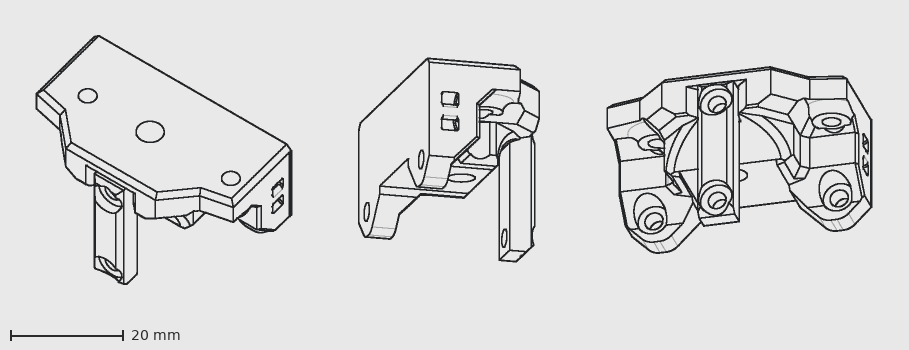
import cadquery as cq
import math


half_width = 22.0
side_depth = 16.9
shoulder_x = 15.6
shoulder_depth = 18.35
nose_x = 10.0
nose_depth = shoulder_depth + shoulder_x - nose_x
top_chamfer = 1.0
lip_width = 0.1
lip_depth = 0.57

ear_drop = 22.2
ear_depth = 4.4
ear_outer_drop = 18.25
ear_inner_x = 8.9
ear_inner_drop = 16.63
ear_round = 3.0
slot_drop = 15.13
wall_depth = 9.5
recess_roof_drop = 5.03
wall_top_drop = 8.0
wall_bottom_drop = 14.05
wall_chamfer_x = 0.45
wall_chamfer_depth = 0.7
ear_hole_x = 17.02
ear_hole_drop = 17.6
ear_hole_diameter = 3.3
ear_bore_diameter = 5.8
ear_bore_floor = 3.55

block_x = 11.85
block_corner = 1.35
block_side_depth = 15.4
block_bottom_drop = 15.88
bottom_slope = 0.19
nose_under_chamfer = 0.4
nose_face_drop = 5.95
hollow_radius = 7.5
hollow_depth = 23.9
hollow_drop = wall_top_drop + hollow_radius
hollow_chamfer = 1.0

hole_depth = 12.45
center_hole_diameter = 5.0
screw_hole_diameter = 3.3
left_screw_x = -13.95
right_screw_x = 18.05
boss_radius = 3.45
boss_drop = 6.92
boss_fillet = boss_drop - recess_roof_drop
screw_head_diameter = 5.4
driver_path_diameter = 5.5

strap_center_offset = 1.0
strap_center_x = half_width + strap_center_offset
strap_center_drop = 9.75
strap_post_diameter = 4.7
strap_outer_radius = 3.65
strap_post_round = 0.57
strap_corner = 0.25
strap_depths = (2.35, 5.45)

bar_width = 6.53
bar_top_drop = 2.65
bar_height = 26.1
bar_back = 20.4
bar_front = 25.4
bar_chamfer = 0.95
bar_bottom_chamfer = 1.85
bar_hole_drops = (6.45, 25.6)
bar_hole_diameter = 3.2
bar_bore_diameter = 6.1
bar_bore_depth = 2.0
seat_gap = 0.2
seat_mouth_x = 5.5

beyond = 44.1


def plan_prism(points, top_drop, bottom_drop):
    """Prism of an (x, depth) outline between two drops."""
    outline = [(x, -depth) for x, depth in points]
    base = cq.Workplane("XY", origin=(0, 0, -bottom_drop)).polyline(outline).close()
    return base.extrude(bottom_drop - top_drop)


def plan_wire(points, drop):
    return cq.Wire.makePolygon([cq.Vector(x, -depth, -drop) for x, depth in points], close=True)


def mirrored(points):
    """Closed outline from its right half, listed from back to front."""
    return points + [(-x, along) for x, along in reversed(points)]


def upright_cylinder(x, diameter, top_drop, bottom_drop):
    plane = cq.Workplane("XY", origin=(x, -hole_depth, -bottom_drop))
    return plane.circle(diameter / 2).extrude(bottom_drop - top_drop)


def forward_cylinder(x, drop, diameter, start_depth, end_depth):
    plane = cq.Workplane("XZ", origin=(x, -start_depth, -drop))
    return plane.circle(diameter / 2).extrude(end_depth - start_depth)


def both_sides(shape):
    return shape.union(shape.mirror("YZ"))


def outline_prism():
    outline = mirrored(
        [(half_width, 0), (half_width, side_depth), (shoulder_x, shoulder_depth), (nose_x, nose_depth)]
    )
    prism = plan_prism(outline, 0, ear_drop)
    return prism.faces(">Z").edges("not >Y").chamfer(top_chamfer)


def front_envelope():
    """Outline of the ears and the slot between them, run through from the back."""
    ear_outer_x = half_width - (ear_drop - ear_outer_drop)
    ear_tip_x = ear_inner_x + ear_drop - ear_inner_drop
    outline = mirrored(
        [
            (half_width, 0),
            (half_width, -ear_outer_drop),
            (ear_outer_x, -ear_drop),
            (ear_tip_x, -ear_drop),
            (ear_inner_x, -ear_inner_drop),
            (ear_inner_x, -slot_drop),
        ]
    )
    envelope = cq.Workplane("XZ").polyline(outline).close().extrude(beyond)
    return envelope.edges("|Y").edges("<Z").fillet(ear_round)


def recess_section(x, shift):
    """Depth-drop outline of the space in front of the wall, moved back by shift."""
    front = wall_depth - shift
    roof_start = front + wall_top_drop - recess_roof_drop
    ear_corner_drop = wall_bottom_drop + front - ear_depth
    points = [
        (roof_start, recess_roof_drop),
        (front, wall_top_drop),
        (front, wall_bottom_drop),
        (ear_depth, ear_corner_drop),
        (ear_depth, beyond),
        (beyond, beyond),
        (beyond, recess_roof_drop),
    ]
    return cq.Wire.makePolygon([cq.Vector(x, -depth, -drop) for depth, drop in points], close=True)


def wall_recess():
    """Space in front of the wall, wider at the outer ends to bevel the wall there."""
    bevel_x = half_width - wall_chamfer_x
    middle = cq.Solid.makeLoft([recess_section(-bevel_x, 0), recess_section(bevel_x, 0)], True)
    end = cq.Solid.makeLoft(
        [recess_section(bevel_x, 0), recess_section(half_width, wall_chamfer_depth)], True
    )
    return cq.Workplane(middle).union(both_sides(cq.Workplane(end)))


def roof_section(spread):
    """Plan outline of the roof's underside, moved outward by spread."""
    side = block_x + spread
    front = nose_depth - nose_under_chamfer + spread
    setback = wall_top_drop - nose_face_drop - spread
    diagonal = shoulder_depth + shoulder_x - setback * math.sqrt(2)
    return mirrored(
        [
            (side + block_corner, 0),
            (side + block_corner, wall_depth + spread),
            (side, wall_depth + block_corner + spread),
            (side, diagonal - side),
            (diagonal - front, front),
        ]
    )


def nose_roof():
    """Thick part of the top plate, flaring outward at 45 degrees as it rises."""
    rise = wall_top_drop - recess_roof_drop
    lower = plan_wire(roof_section(0), wall_top_drop)
    upper = plan_wire(roof_section(rise), recess_roof_drop)
    return cq.Workplane(cq.Solid.makeLoft([lower, upper], True))


def block_section(inset):
    """Plan outline of the block, its sides and back corners moved in by inset."""
    side = block_x - inset
    tip_depth = block_side_depth + block_x
    outline = [
        (side + block_corner, 0),
        (side + block_corner, wall_depth - inset),
        (side, wall_depth + block_corner - inset),
        (side, tip_depth - side),
    ]
    return outline + [(0, tip_depth)] + [(-x, depth) for x, depth in reversed(outline)]


def block_envelope():
    """Block with its lower sides drawn in and its underside falling toward the slot."""
    inset = block_bottom_drop - wall_bottom_drop
    upper = plan_prism(block_section(0), 0, wall_bottom_drop)
    wires = [
        plan_wire(block_section(shift), drop)
        for shift, drop in ((0, wall_bottom_drop), (inset, block_bottom_drop))
    ]
    tapered = upper.union(cq.Workplane(cq.Solid.makeLoft(wires, True)))
    edge_drop = block_bottom_drop - bottom_slope * (half_width - ear_inner_x)
    underside = mirrored(
        [(half_width, 0), (half_width, -edge_drop), (ear_inner_x, -block_bottom_drop)]
    )
    return tapered.intersect(cq.Workplane("XZ").polyline(underside).close().extrude(beyond))


def block():
    """Central block, hollowed at the front by a cylinder along X with a bevelled mouth."""
    solid = plan_prism(block_section(0), 0, hollow_drop + hollow_radius / 2)
    hollow = cq.Workplane("YZ", origin=(-beyond / 2, -hollow_depth, -hollow_drop))
    solid = solid.cut(hollow.circle(hollow_radius).extrude(beyond))
    solid = solid.edges("%ELLIPSE").chamfer(hollow_chamfer)
    hollow_back = hollow_depth - hollow_radius
    toe_size = block_bottom_drop - slot_drop
    toe = cq.Workplane("YZ", origin=(-beyond / 2, -hollow_back, -slot_drop))
    toe_outline = [(0, 0), (toe_size, -toe_size), (-toe_size, -toe_size), (-toe_size, 0)]
    toe = toe.polyline(toe_outline).close().extrude(beyond)
    return solid.intersect(block_envelope()).cut(toe)


def screw_boss(x):
    """Boss under the roof, flaring into it with a quarter-round fillet."""
    flare_radius = boss_radius + boss_fillet
    middle_offset = boss_fillet * (1 - math.sqrt(0.5))
    profile = (
        cq.Workplane("XZ")
        .moveTo(0, -boss_drop)
        .lineTo(boss_radius, -boss_drop)
        .threePointArc(
            (boss_radius + middle_offset, -recess_roof_drop - middle_offset),
            (flare_radius, -recess_roof_drop),
        )
        .lineTo(0, -recess_roof_drop)
        .close()
    )
    return profile.revolve(360, (0, 0, 0), (0, 1, 0)).translate((x, -hole_depth, 0))


def bar_seat():
    """Vertical slot behind the bar with 45-degree flared walls at its mouth."""
    half_slot = bar_width / 2 + seat_gap
    flare_depth = nose_depth - (seat_mouth_x - half_slot)
    outline = mirrored(
        [
            (half_slot, bar_back),
            (half_slot, flare_depth),
            (seat_mouth_x, nose_depth),
            (seat_mouth_x, bar_front),
        ]
    )
    return plan_prism(outline, bar_top_drop - seat_gap, slot_drop)


def strap_channel():
    """Curved channel in the left wall, passing behind a rounded post between its two windows."""
    start, end = strap_depths
    plane = cq.Workplane("XZ", origin=(-strap_center_x, -start, -strap_center_drop))
    outside = cq.Workplane("XY").box(beyond, beyond, beyond).translate((-half_width - beyond / 2, 0, 0))
    post = plane.circle(strap_post_diameter / 2).extrude(end - start).cut(outside)
    post = post.edges("|Y").fillet(strap_post_round)
    channel = plane.circle(strap_outer_radius).extrude(end - start).cut(post)
    return channel.faces("|Y").edges().chamfer(strap_corner)


def side_lip():
    height = ear_outer_drop - top_chamfer
    lip = cq.Workplane("XY").box(lip_width, lip_depth, height, centered=False)
    return lip.translate((half_width, -lip_depth, -ear_outer_drop))


def ear_holes():
    """Counterbored screw holes through the two ears."""
    holes = cq.Workplane("XY")
    for x in (-ear_hole_x, ear_hole_x):
        holes = holes.add(forward_cylinder(x, ear_hole_drop, ear_hole_diameter, 0, beyond))
        holes = holes.add(forward_cylinder(x, ear_hole_drop, ear_bore_diameter, ear_bore_floor, beyond))
    return holes.combine()


def housing():
    screw_places = (left_screw_x, right_screw_x)
    body = outline_prism().cut(wall_recess())
    for x in screw_places:
        body = body.cut(upright_cylinder(x, screw_head_diameter, boss_drop, wall_top_drop))
    body = body.union(block()).union(nose_roof())
    for x in screw_places:
        body = body.cut(upright_cylinder(x, driver_path_diameter, wall_top_drop, ear_drop))
        body = body.union(screw_boss(x))
        body = body.cut(upright_cylinder(x, screw_hole_diameter, 0, ear_drop))
    body = body.intersect(outline_prism()).intersect(front_envelope())
    body = body.cut(upright_cylinder(0, center_hole_diameter, 0, ear_drop))
    body = body.cut(ear_holes()).cut(bar_seat()).cut(both_sides(strap_channel()))
    return body.union(side_lip())


def bar():
    """Upright bar with a bevelled front and two counterbored holes."""
    thickness = bar_front - bar_back
    blank = cq.Workplane("XY").box(bar_width, thickness, bar_height, centered=(True, False, False))
    blank = blank.translate((0, -bar_front, -bar_top_drop - bar_height))
    blank = blank.faces("<Y").edges("|Z or >Z").chamfer(bar_chamfer)
    blank = blank.faces("<Z").edges("<Y").chamfer(bar_bottom_chamfer)
    floor = bar_front - bar_bore_depth
    for drop in bar_hole_drops:
        blank = blank.cut(forward_cylinder(0, drop, bar_hole_diameter, bar_back, bar_front))
        blank = blank.cut(forward_cylinder(0, drop, bar_bore_diameter, floor, bar_front))
    return blank


result = cq.Compound.makeCompound([housing().val(), bar().val()])